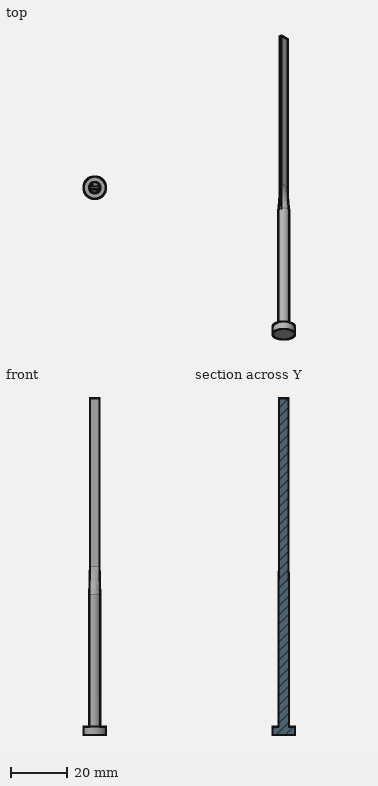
import cadquery as cq
import math

total_length = 120.0
blade_length = 60.0
transition_length = 10.0
head_height = 3.0

head_diameter = 8.0
shaft_diameter = head_diameter / 2
blade_width = 3.5
blade_thickness = 1.0

blade_base = total_length - blade_length
shaft_top = blade_base - transition_length
shaft_radius = shaft_diameter / 2


def make_head():
    return cq.Workplane("XY").circle(head_diameter / 2).extrude(head_height)


def make_shaft():
    return cq.Workplane("XY").circle(shaft_radius).extrude(shaft_top)


def make_transition():
    """Blend the round shaft into the flat blade with four ruled faces."""
    half_width = blade_width / 2
    half_thickness = blade_thickness / 2
    split_x = math.sqrt(shaft_radius**2 - half_thickness**2)
    return (
        cq.Workplane("XY", origin=(0, 0, shaft_top))
        .moveTo(split_x, -half_thickness)
        .threePointArc((shaft_radius, 0), (split_x, half_thickness))
        .threePointArc((0, shaft_radius), (-split_x, half_thickness))
        .threePointArc((-shaft_radius, 0), (-split_x, -half_thickness))
        .threePointArc((0, -shaft_radius), (split_x, -half_thickness))
        .close()
        .workplane(offset=transition_length)
        .moveTo(half_width, -half_thickness)
        .lineTo(half_width, half_thickness)
        .lineTo(-half_width, half_thickness)
        .lineTo(-half_width, -half_thickness)
        .close()
        .loft(ruled=True)
    )


def make_blade():
    return (
        cq.Workplane("XY", origin=(0, 0, blade_base))
        .rect(blade_width, blade_thickness)
        .extrude(blade_length)
    )


result = make_head().union(make_shaft()).union(make_transition()).union(make_blade())